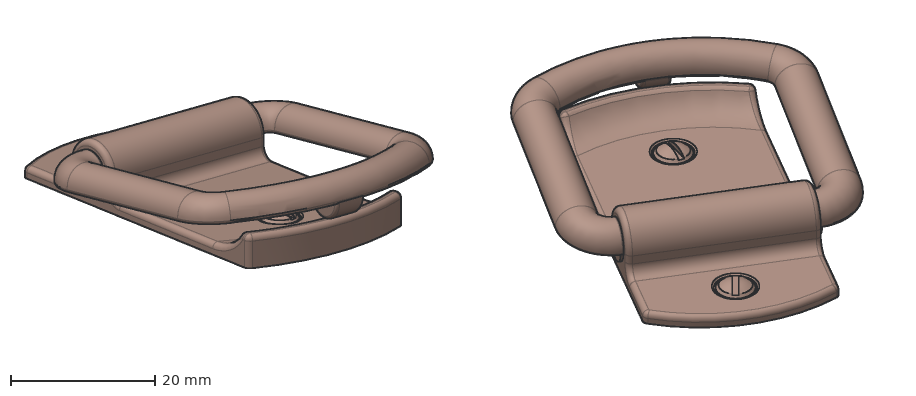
import cadquery as cq
import math

base_length = 55.15
base_width = 28.05
plate_thickness = 1.8
front_arc_radius = 27.2
corner_radius = 1.05
edge_fillet = 0.85

pin_x = 18.2
pin_z = 4.85
pin_radius = 3.1
pin_overhang = 0.4
barrel_radius = 4.6
barrel_foot_radius = 1.75

rim_height = 4.9
rim_outer_radius = 35.35
rim_center_x = base_length - rim_outer_radius
rim_width = 1.75
cove_start_radius = 28.15
rim_half_angle = 40.0

rod_radius = 3.2
rod_lip = 0.5
ring_width = 43.85
ring_end_x = 57.9
ring_end_outer_radius = 37.2
ring_corner_radius = 4.5
ring_tilt = 5.7
grip_radius = pin_radius
grip_half_width = 2.3
grip_end_fillet = 0.45

screws = ((7.2, -14.0), (42.4, 14.0))
countersink_radius = 3.3
groove_floor_radius = 3.0
screw_radius = 2.8
groove_depth = 0.25
dome_radius = 2.4
dome_base_z = 2.0
dome_top_z = 2.8
slot_width = 0.85
slot_floor_z = 1.9


def base_outline():
    """Flat outline of the base: straight sides and a bowed edge at each end."""
    half = base_width / 2
    front_x = front_arc_radius - math.sqrt(front_arc_radius**2 - half**2)
    back_x = rim_center_x + math.sqrt(rim_outer_radius**2 - half**2)
    return (
        cq.Workplane("XY")
        .moveTo(front_x, -half)
        .lineTo(back_x, -half)
        .threePointArc((base_length, 0), (back_x, half))
        .lineTo(front_x, half)
        .threePointArc((0, 0), (front_x, -half))
        .close()
    )


def rounded_blank(height):
    return base_outline().extrude(height).edges("|Z").fillet(corner_radius)


def rim():
    """Rim section turned about a vertical line, trimmed to the base outline."""
    inner_radius = rim_outer_radius - rim_width
    run = inner_radius - cove_start_radius
    rise = rim_height - plate_thickness
    cove_radius = (run**2 + rise**2) / (2 * rise)
    half_sweep = math.asin(run / cove_radius) / 2
    cove_middle = (
        cove_start_radius + cove_radius * math.sin(half_sweep),
        plate_thickness + cove_radius * (1 - math.cos(half_sweep)),
    )
    overlap_radius = rim_outer_radius + rim_width
    section = (
        cq.Workplane("XZ")
        .moveTo(cove_start_radius, 0)
        .lineTo(cove_start_radius, plate_thickness)
        .threePointArc(cove_middle, (inner_radius, rim_height))
        .lineTo(overlap_radius, rim_height)
        .lineTo(overlap_radius, 0)
        .close()
    )
    turned = section.revolve(2 * rim_half_angle, (0, 0, 0), (0, 1, 0))
    turned = turned.rotate((0, 0, 0), (0, 0, 1), -rim_half_angle)
    return turned.translate((rim_center_x, 0, 0)).intersect(rounded_blank(rim_height))


def hinge_block():
    """Barrel over the pin, with concave feet running out onto the plate."""
    foot_top = plate_thickness + barrel_foot_radius
    foot_reach = barrel_radius + barrel_foot_radius
    foot_inset = barrel_foot_radius * (1 - math.sqrt(0.5))
    foot_middle = (barrel_radius + foot_inset, plate_thickness + foot_inset)
    return (
        cq.Workplane("XZ")
        .moveTo(-foot_reach, 0)
        .lineTo(-foot_reach, plate_thickness)
        .threePointArc((-foot_middle[0], foot_middle[1]), (-barrel_radius, foot_top))
        .lineTo(-barrel_radius, pin_z)
        .threePointArc((0, pin_z + barrel_radius), (barrel_radius, pin_z))
        .lineTo(barrel_radius, foot_top)
        .threePointArc(foot_middle, (foot_reach, plate_thickness))
        .lineTo(foot_reach, 0)
        .close()
        .extrude(base_width / 2, both=True)
        .translate((pin_x, 0, 0))
    )


def is_cove_start(edge):
    """True for the edge where the plate's flat top turns up into the rim."""
    middle = edge.positionAt(0.5)
    tolerance = 0.05
    return abs(middle.x - rim_center_x - cove_start_radius) < tolerance and abs(middle.y) < tolerance


def base():
    """Plate, rim and hinge in one body, rounded along its whole upper outline."""
    body = rounded_blank(plate_thickness).union(rim()).union(hinge_block()).clean()
    raised_edges = body.edges("not |Y").filter(lambda edge: edge.BoundingBox().zmin > 0)
    rounded_edges = raised_edges.filter(lambda edge: not is_cove_start(edge))
    return rounded_edges.fillet(edge_fillet)


def half_round_section(radius):
    """Half-round rod section on a shallow lip with rounded lower corners, flat side down."""
    flat = radius - rod_lip
    corner = rod_lip * math.sqrt(0.5)
    return (
        cq.Workplane("XZ")
        .moveTo(-radius, 0)
        .threePointArc((0, radius), (radius, 0))
        .threePointArc((flat + corner, -corner), (flat, -rod_lip))
        .lineTo(-flat, -rod_lip)
        .threePointArc((-flat - corner, -corner), (-radius, 0))
        .close()
    )


def ring():
    """Ring lying flat with the pin's axis on the Y axis, then tilted."""
    tilt = math.radians(ring_tilt)
    arc_radius = ring_end_outer_radius - rod_radius
    reach = (ring_end_x - rod_radius - pin_x) / math.cos(tilt)
    arc_x = reach - arc_radius
    arm_y = ring_width / 2 - rod_radius
    corner_y = arm_y - ring_corner_radius

    far_corner_x = arc_x + math.sqrt((arc_radius - ring_corner_radius) ** 2 - corner_y**2)
    blend = math.atan2(corner_y, far_corner_x - arc_x)

    def around(center_x, center_y, radius, angle):
        return (center_x + radius * math.cos(angle), center_y + radius * math.sin(angle))

    def mirrored(point):
        return (point[0], -point[1])

    near_middle = around(ring_corner_radius, corner_y, ring_corner_radius, math.radians(135))
    far_middle = around(far_corner_x, corner_y, ring_corner_radius, (math.pi / 2 + blend) / 2)
    blend_point = around(arc_x, 0, arc_radius, blend)

    path = (
        cq.Workplane("XY")
        .moveTo(0, 0)
        .lineTo(0, corner_y)
        .threePointArc(near_middle, (ring_corner_radius, arm_y))
        .lineTo(far_corner_x, arm_y)
        .threePointArc(far_middle, blend_point)
        .threePointArc((reach, 0), mirrored(blend_point))
        .threePointArc(mirrored(far_middle), (far_corner_x, -arm_y))
        .lineTo(ring_corner_radius, -arm_y)
        .threePointArc(mirrored(near_middle), (0, -corner_y))
        .close()
    )
    loop = half_round_section(rod_radius).sweep(path)

    grip_angle = 2 * math.degrees(math.asin(grip_half_width / arc_radius))
    grip = (
        cq.Workplane("XZ")
        .center(arc_radius, 0)
        .circle(grip_radius)
        .revolve(grip_angle, (-arc_radius, 0, 0), (-arc_radius, 1, 0))
        .rotate((0, 0, 0), (0, 0, 1), -grip_angle / 2)
        .edges()
        .fillet(grip_end_fillet)
        .translate((arc_x, 0, 0))
    )
    return loop.union(grip).rotate((0, 0, 0), (0, 1, 0), -ring_tilt).translate((pin_x, 0, pin_z))


def pin():
    half_length = base_width / 2 + pin_overhang
    return (
        cq.Workplane("XZ")
        .center(pin_x, pin_z)
        .circle(pin_radius)
        .extrude(half_length, both=True)
    )


def screw_groove(x):
    """Countersunk ring groove around a screw head."""
    floor_z = plate_thickness - groove_depth
    return (
        cq.Workplane("XZ")
        .moveTo(0, floor_z)
        .lineTo(groove_floor_radius, floor_z)
        .lineTo(countersink_radius, plate_thickness)
        .lineTo(0, plate_thickness)
        .close()
        .revolve(360, (0, 0, 0), (0, 1, 0))
        .translate((x, 0, 0))
    )


def screw_head(x, slot_angle):
    """Domed head with a bevelled skirt and a driver slot."""
    floor_z = plate_thickness - groove_depth
    root_z = plate_thickness / 2
    dome_height = dome_top_z - dome_base_z
    sphere_radius = (dome_radius**2 + dome_height**2) / (2 * dome_height)
    half_sweep = math.asin(dome_radius / sphere_radius) / 2
    dome_middle = (
        sphere_radius * math.sin(half_sweep),
        dome_top_z - sphere_radius * (1 - math.cos(half_sweep)),
    )
    head = (
        cq.Workplane("XZ")
        .moveTo(0, root_z)
        .lineTo(screw_radius, root_z)
        .lineTo(screw_radius, floor_z)
        .lineTo(dome_radius, dome_base_z)
        .threePointArc(dome_middle, (0, dome_top_z))
        .close()
        .revolve(360, (0, 0, 0), (0, 1, 0))
    )
    slot = (
        cq.Workplane("XY", origin=(0, 0, slot_floor_z))
        .rect(2 * countersink_radius, slot_width)
        .extrude(dome_top_z - slot_floor_z)
        .rotate((0, 0, 0), (0, 0, 1), slot_angle)
    )
    return head.cut(slot).translate((x, 0, 0))


result = base().union(pin()).union(ring())
for screw_x, screw_angle in screws:
    result = result.cut(screw_groove(screw_x)).union(screw_head(screw_x, screw_angle))